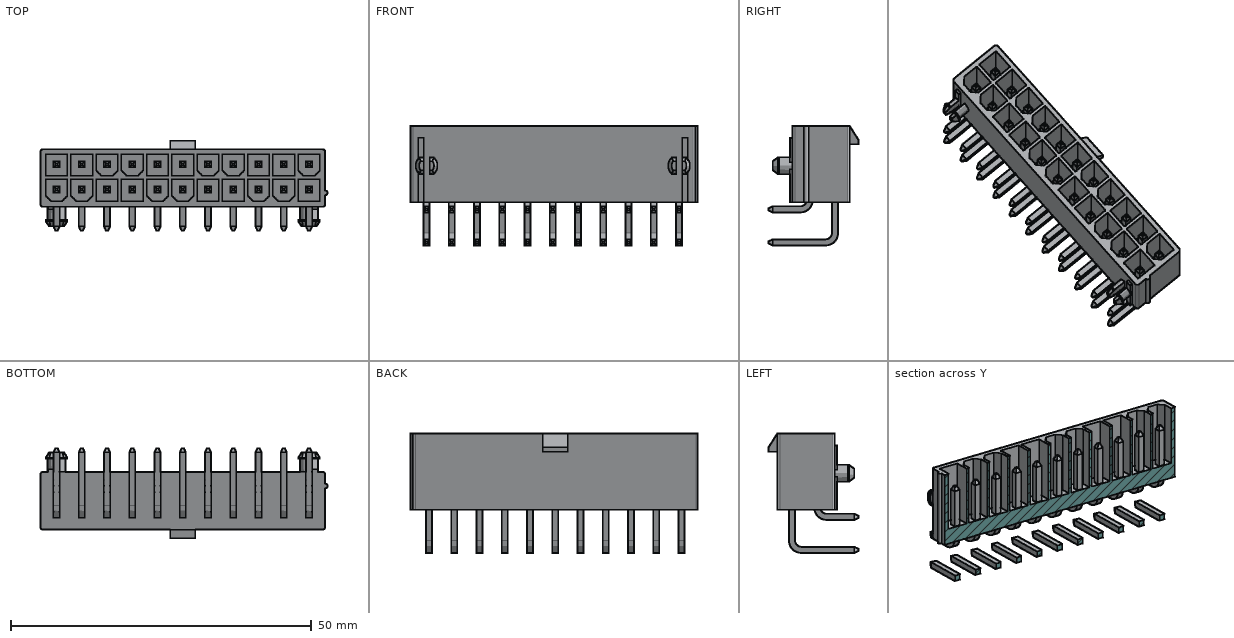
import cadquery as cq
import math


columns = 11
column_span = 42.0
pitch = column_span / (columns - 1)
pin_width = 1.05

overall_length = 47.8
key_radius = 0.4
body_length = overall_length - key_radius
body_depth = 9.6
body_height = 12.75
corner_radius = 0.45
key_y = 2.35

cavity_size = 3.65
cavity_depth = 10.0
cavity_chamfer = 0.9
front_row_y = 2.75
back_row_y = front_row_y + pitch
floor_z = body_height - cavity_depth

pin_offset_y = 0.15
pin_reach = 3.95
pin_tip_length = 0.7
pin_tip_width = 0.36
bend_radius = 2.1
lower_pin_z = -7.15
upper_pin_z = -1.65
contact_recess = 2.85
contact_top_z = body_height - contact_recess

latch_width = 4.2
latch_reach = 1.45
latch_top_gap = 0.1
latch_lip_gap = 2.35
latch_bottom_gap = 3.1

rib_width = 0.9
rib_reach = 0.405
rib_height = 10.75

peg_z = 6.1
peg_radius = 1.55
peg_slot = 1.0
peg_length = 3.25
head_start = 2.15
head_taper_start = 2.4
head_radius = 1.8
head_tip_radius = 1.25
head_half_height = 1.4
head_tip_half_height = 0.75

column_xs = [column * pitch - column_span / 2 for column in range(columns)]


def make_body():
    """Plain housing block with rounded upright corners and the key rib on its +X side."""
    block = (
        cq.Workplane("XY")
        .box(body_length, body_depth, body_height, centered=(True, False, False))
        .edges("|Z")
        .fillet(corner_radius)
    )
    key = (
        cq.Workplane("XY")
        .center(body_length / 2, key_y)
        .circle(key_radius)
        .extrude(body_height)
    )
    return block.union(key)


def make_cavity(x, y, chamfered):
    """Square contact cavity, optionally with its two board-side corners cut off."""
    cavity = (
        cq.Workplane("XY", origin=(x, y, floor_z))
        .rect(cavity_size, cavity_size)
        .extrude(cavity_depth)
    )
    if chamfered:
        cavity = cavity.edges("|Z and <Y").chamfer(cavity_chamfer)
    return cavity


def make_pin_tip(plane):
    """Blunt pyramid that grows from the origin of the plane along its normal."""
    taper = math.degrees(math.atan((pin_width - pin_tip_width) / 2 / pin_tip_length))
    return cq.Workplane(plane).rect(pin_width, pin_width).extrude(pin_tip_length, taper=taper)


def make_pin(x, y, bottom_z):
    """Bent square pin: upright contact, rounded elbow and tail towards -Y, both ends pointed."""
    tail_end_y = pin_tip_length - pin_reach
    contact_end_z = contact_top_z - pin_tip_length
    half = pin_width / 2
    inner_radius = bend_radius - pin_width
    stem = (
        cq.Workplane("YZ", origin=(x - half, 0, 0))
        .moveTo(y + half, contact_end_z)
        .lineTo(y + half, bottom_z + bend_radius)
        .radiusArc((y + half - bend_radius, bottom_z), bend_radius)
        .lineTo(tail_end_y, bottom_z)
        .lineTo(tail_end_y, bottom_z + pin_width)
        .lineTo(y + half - bend_radius, bottom_z + pin_width)
        .radiusArc((y - half, bottom_z + bend_radius), -inner_radius)
        .lineTo(y - half, contact_end_z)
        .close()
        .extrude(pin_width)
    )
    contact_tip = make_pin_tip(cq.Plane((x, y, contact_end_z), (1, 0, 0), (0, 0, 1)))
    tail_tip = make_pin_tip(cq.Plane((x, tail_end_y, bottom_z + half), (1, 0, 0), (0, -1, 0)))
    return stem.union(contact_tip).union(tail_tip)


def make_latch():
    """Ramp on the +Y face that the mating plug snaps over."""
    outer_y = body_depth + latch_reach
    root_y = body_depth - corner_radius
    return (
        cq.Workplane("YZ")
        .polyline([
            (root_y, body_height - latch_top_gap),
            (body_depth, body_height - latch_top_gap),
            (outer_y, body_height - latch_lip_gap),
            (outer_y, body_height - latch_bottom_gap),
            (root_y, body_height - latch_bottom_gap),
        ])
        .close()
        .extrude(latch_width / 2, both=True)
    )


def make_rib(side):
    """Stand-off rib on the board-side face, its inner edge in line with the peg slot."""
    x = side * (column_span + peg_slot + rib_width) / 2
    return cq.Workplane("XY").box(
        rib_width, 2 * rib_reach, rib_height, centered=(True, True, False)
    ).translate((x, 0, 0))


def make_peg(side):
    """Round peg with a barbed, tapered head, split into two halves by an upright slot."""
    shaft = cq.Workplane("XZ").circle(peg_radius).extrude(head_taper_start)
    barb = (
        cq.Workplane("XY")
        .polyline([
            (0, -head_start),
            (head_radius, -head_start),
            (head_radius, -head_taper_start),
            (head_tip_radius, -peg_length),
            (0, -peg_length),
        ])
        .close()
        .revolve(360, (0, 0, 0), (0, 1, 0))
    )
    wedge = (
        cq.Workplane("YZ")
        .polyline([
            (0, head_half_height),
            (-head_taper_start, head_half_height),
            (-peg_length, head_tip_half_height),
            (-peg_length, -head_tip_half_height),
            (-head_taper_start, -head_half_height),
            (0, -head_half_height),
        ])
        .close()
        .extrude(head_radius, both=True)
    )
    slot = cq.Workplane("XZ").rect(peg_slot, 2 * head_radius).extrude(peg_length)
    peg = shaft.union(barb.intersect(wedge)).cut(slot)
    return peg.translate((side * column_span / 2, 0, peg_z))


result = make_body()

for column, column_x in enumerate(column_xs):
    odd_pair = column // 2 % 2 == 1
    result = result.cut(make_cavity(column_x, back_row_y, odd_pair))
    result = result.cut(make_cavity(column_x, front_row_y, not odd_pair))

for column_x in column_xs:
    result = result.union(make_pin(column_x, back_row_y + pin_offset_y, lower_pin_z))
    result = result.union(make_pin(column_x, front_row_y + pin_offset_y, upper_pin_z))

result = result.union(make_latch())
for side in (-1, 1):
    result = result.union(make_rib(side)).union(make_peg(side))